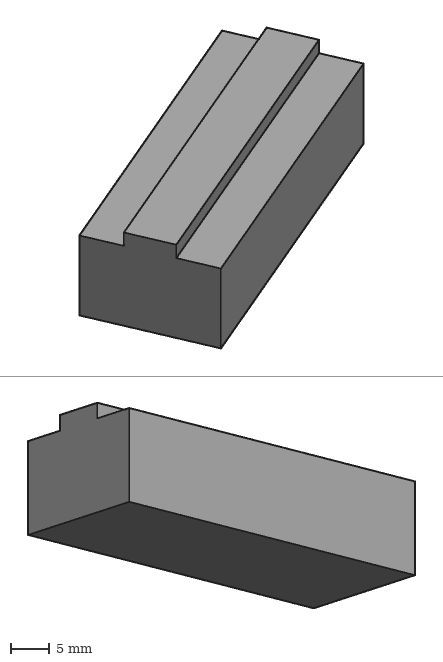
import cadquery as cq

width = 20.0
length = 50.0
height = 15.0

rib_width = 7.4
rib_height = 2.15

base_height = height - rib_height

base = cq.Workplane("XY").box(width, length, base_height, centered=(True, True, False))

result = base.faces(">Z").workplane().rect(rib_width, length).extrude(rib_height)